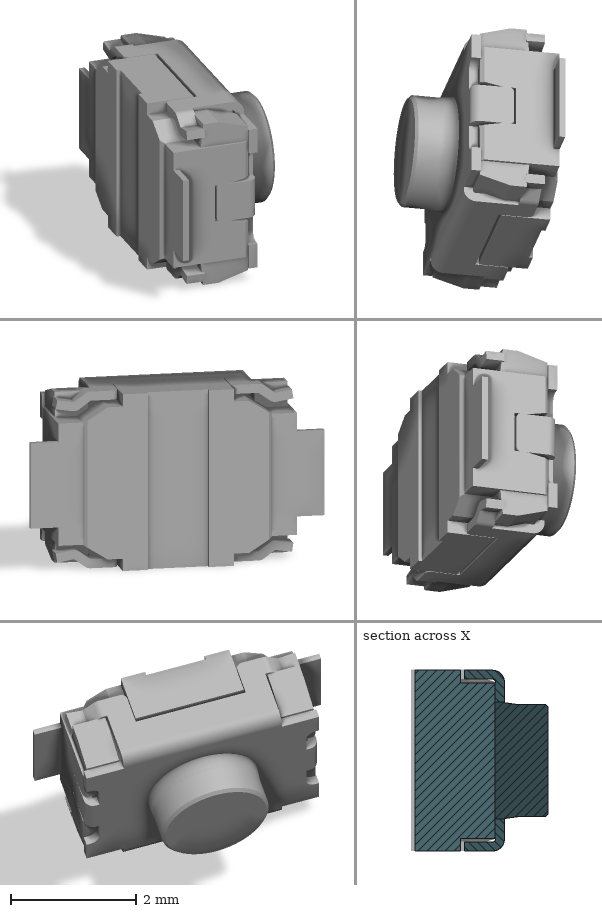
import cadquery as cq
import math


TOTAL_LENGTH = 4.8
TOTAL_HEIGHT = 2.2
TOTAL_WIDTH = 2.9
HALF_WIDTH = TOTAL_WIDTH / 2
HOUSING_HALF_LENGTH = 1.95

SHEET = 0.15
COVER_TOP = 1.5
COVER_BOTTOM = 0.3
LEG_HALF_LENGTH = 1.325
LEG_BEND_RADIUS = 0.195
EAR_HALF_WIDTH = 1.21
EAR_INNER_Z = 0.795
WINDOW_HALF_LENGTH = 0.92
WINDOW_TOP = 0.85
LEG_CORNER_RADIUS = 0.1
LEG_INNER_Z = HALF_WIDTH - SHEET
LEG_BEND_INNER_RADIUS = LEG_BEND_RADIUS - SHEET

NOTCH_DEPTH = 0.215
NOTCH_CORNER_RADIUS = 0.155
NOTCH_FLOOR_X = HOUSING_HALF_LENGTH - NOTCH_DEPTH
TAB_INNER_X = HOUSING_HALF_LENGTH - SHEET
TAB_HALF_WIDTH = 0.32
TAB_BOTTOM = 0.805
TAB_CORNER_RADIUS = 0.07

STRIP_TOP = 0.605
STRIP_ROOT_X = 1.375
STRIP_SLOPE = 36.0
STRIP_SLOPE_LENGTH = 0.225
STRIP_END_SLOPE = 9.0
STRIP_END_LENGTH = 0.28

HOUSING_TOP = COVER_TOP - SHEET
END_HALF_WIDTH = 1.005
END_BOTTOM = 0.06
FLOOR_HALF_LENGTH = 1.545
FLOOR_CORNER_X = 1.155
FLOOR_HALF_WIDTH = 1.25
TOP_CHAMFER_WIDTH = 0.05
TOP_CHAMFER_HEIGHT = 0.06
GROOVE_HALF_LENGTH = 0.5
TONGUE_HALF_LENGTH = 0.905
TONGUE_TOP = 0.79

BLOCK_INNER_X = 1.36
BLOCK_OUTER_X = HOUSING_HALF_LENGTH - TOP_CHAMFER_WIDTH
BLOCK_OUTER_Z = 1.4
BLOCK_TOP_Z = 1.26
BLOCK_TAPER_START = 0.85
BLOCK_BOTTOM_INNER = 0.545
BLOCK_BOTTOM_OUTER = 0.59

POCKET_BOTTOM = 0.775
POCKET_FLARE_START = 0.98
POCKET_TOP_HALF_WIDTH = 0.395

BUTTON_DIAMETER = 1.8
BUTTON_FOOT_RADIUS = 0.93
BUTTON_FLARE_TOP = 1.72
BUTTON_CHAMFER = 0.05

TERMINAL_INNER_X = 1.705
TERMINAL_HALF_WIDTH = 0.7
TERMINAL_TOP = 0.16

SIDES = (-1, 1)


def box(x_range, y_range, z_range):
    """A box from its limits along each axis."""
    size = [high - low for low, high in (x_range, y_range, z_range)]
    corner = cq.Vector(x_range[0], y_range[0], z_range[0])
    return cq.Workplane(cq.Solid.makeBox(*size, corner))


def plan_sketch(y_level):
    """A workplane at a height, with local axes X and Z; a negative extrusion rises toward +Y."""
    return cq.Workplane("XZ", origin=(0, y_level, 0))


def at_both_ends(body):
    """A body at the +X end together with its mirror image at the -X end."""
    return body.union(body.mirror("YZ"))


def at_four_corners(body):
    """A body at the +X +Z corner together with its three mirror images."""
    return at_both_ends(body.union(body.mirror("XY")))




def cover_channel():
    """Top plate with its two bent legs, as one channel along X."""
    outer = box((-LEG_HALF_LENGTH, LEG_HALF_LENGTH), (COVER_BOTTOM, COVER_TOP), (-HALF_WIDTH, HALF_WIDTH))
    outer = outer.edges("|X and >Y").fillet(LEG_BEND_RADIUS)
    inner = box((-LEG_HALF_LENGTH, LEG_HALF_LENGTH), (COVER_BOTTOM, HOUSING_TOP), (-LEG_INNER_Z, LEG_INNER_Z))
    inner = inner.edges("|X and >Y").fillet(LEG_BEND_INNER_RADIUS)
    return outer.cut(inner)


def leg_window():
    """Opening through both legs around the housing tongues, rounded where it leaves the leg ends."""
    half_mouth = WINDOW_HALF_LENGTH + LEG_CORNER_RADIUS
    round_top = COVER_BOTTOM + LEG_CORNER_RADIUS
    return (
        cq.Workplane("XY", origin=(0, 0, -HALF_WIDTH))
        .moveTo(-half_mouth, COVER_BOTTOM)
        .radiusArc((-WINDOW_HALF_LENGTH, round_top), -LEG_CORNER_RADIUS)
        .lineTo(-WINDOW_HALF_LENGTH, WINDOW_TOP)
        .lineTo(WINDOW_HALF_LENGTH, WINDOW_TOP)
        .lineTo(WINDOW_HALF_LENGTH, round_top)
        .radiusArc((half_mouth, COVER_BOTTOM), -LEG_CORNER_RADIUS)
        .close()
        .extrude(TOTAL_WIDTH)
    )


def cover_plate():
    """Top plate with an ear at each corner and a round-cornered notch in each end between the ears."""
    plate = box(
        (-HOUSING_HALF_LENGTH, HOUSING_HALF_LENGTH),
        (HOUSING_TOP, COVER_TOP),
        (-EAR_HALF_WIDTH, EAR_HALF_WIDTH),
    )
    notch_floor_half_width = EAR_INNER_Z - NOTCH_CORNER_RADIUS
    arc_start_x = NOTCH_FLOOR_X + NOTCH_CORNER_RADIUS
    notch = (
        plan_sketch(HOUSING_TOP)
        .moveTo(HOUSING_HALF_LENGTH, EAR_INNER_Z)
        .lineTo(arc_start_x, EAR_INNER_Z)
        .radiusArc((NOTCH_FLOOR_X, notch_floor_half_width), -NOTCH_CORNER_RADIUS)
        .lineTo(NOTCH_FLOOR_X, -notch_floor_half_width)
        .radiusArc((arc_start_x, -EAR_INNER_Z), -NOTCH_CORNER_RADIUS)
        .lineTo(HOUSING_HALF_LENGTH, -EAR_INNER_Z)
        .close()
        .extrude(-SHEET)
    )
    return plate.cut(at_both_ends(notch))


def end_tab():
    """Tab that bends down from the floor of the end notch, with rounded lower corners."""
    tab = (
        cq.Workplane("XY")
        .moveTo(TAB_INNER_X, TAB_BOTTOM)
        .lineTo(HOUSING_HALF_LENGTH, TAB_BOTTOM)
        .lineTo(HOUSING_HALF_LENGTH, HOUSING_TOP)
        .radiusArc((TAB_INNER_X, COVER_TOP), -SHEET)
        .lineTo(NOTCH_FLOOR_X, COVER_TOP)
        .lineTo(NOTCH_FLOOR_X, HOUSING_TOP)
        .lineTo(TAB_INNER_X, HOUSING_TOP)
        .close()
        .extrude(TAB_HALF_WIDTH, both=True)
    )
    return tab.edges("|X and <Y").fillet(TAB_CORNER_RADIUS)


def crimp_strip():
    """Strip that bends inward off the leg and then outward again to the housing end."""

    def step(point, length, degrees):
        angle = math.radians(degrees)
        return (point[0] + length * math.cos(angle), point[1] + length * math.sin(angle))

    first_pivot = (STRIP_ROOT_X, LEG_INNER_Z)
    first_outer_end = step(first_pivot, SHEET, 90 - STRIP_SLOPE)
    first_outer_middle = step(first_pivot, SHEET, 90 - STRIP_SLOPE / 2)
    second_pivot = step(first_outer_end, STRIP_SLOPE_LENGTH, -STRIP_SLOPE)
    second_outer_start = step(first_pivot, STRIP_SLOPE_LENGTH, -STRIP_SLOPE)
    second_outer_end = step(second_pivot, SHEET, STRIP_END_SLOPE - 90)
    second_outer_middle = step(second_pivot, SHEET, (STRIP_END_SLOPE - STRIP_SLOPE) / 2 - 90)
    tip_outer = step(second_pivot, STRIP_END_LENGTH, STRIP_END_SLOPE)
    tip_inner = step(second_outer_end, STRIP_END_LENGTH, STRIP_END_SLOPE)

    root_x = STRIP_ROOT_X - SHEET
    return (
        plan_sketch(COVER_BOTTOM)
        .moveTo(root_x, LEG_INNER_Z)
        .lineTo(root_x, HALF_WIDTH)
        .lineTo(STRIP_ROOT_X, HALF_WIDTH)
        .threePointArc(first_outer_middle, first_outer_end)
        .lineTo(*second_pivot)
        .lineTo(*tip_outer)
        .lineTo(*tip_inner)
        .lineTo(*second_outer_end)
        .threePointArc(second_outer_middle, second_outer_start)
        .lineTo(*first_pivot)
        .close()
        .extrude(COVER_BOTTOM - STRIP_TOP)
    )


def make_cover():
    """Cover with its plate, legs, tabs and strips, and a round hole for the button."""
    cover = cover_channel().cut(leg_window()).union(cover_plate())
    cover = cover.union(at_both_ends(end_tab())).union(at_four_corners(crimp_strip()))
    button_hole = plan_sketch(HOUSING_TOP).circle(BUTTON_FOOT_RADIUS).extrude(-SHEET)
    return cover.cut(button_hole)




def make_terminal(side):
    """Flat terminal set flush into the underside of one housing end; side is -1 or +1 along X."""
    x_limits = sorted((side * TERMINAL_INNER_X, side * TOTAL_LENGTH / 2))
    return box(x_limits, (END_BOTTOM, TERMINAL_TOP), (-TERMINAL_HALF_WIDTH, TERMINAL_HALF_WIDTH))




def housing_core():
    """Main block: a stepped and grooved profile along Z, with sloped corners in plan."""
    half_profile = [
        (0, END_BOTTOM),
        (GROOVE_HALF_LENGTH, END_BOTTOM),
        (GROOVE_HALF_LENGTH, 0),
        (FLOOR_HALF_LENGTH - END_BOTTOM, 0),
        (FLOOR_HALF_LENGTH, END_BOTTOM),
        (HOUSING_HALF_LENGTH, END_BOTTOM),
        (HOUSING_HALF_LENGTH, HOUSING_TOP - TOP_CHAMFER_HEIGHT),
        (HOUSING_HALF_LENGTH - TOP_CHAMFER_WIDTH, HOUSING_TOP),
        (0, HOUSING_TOP),
    ]
    profile = cq.Workplane("XY").polyline(half_profile).close().extrude(HALF_WIDTH, both=True)
    quarter_plan = [
        (0, 0),
        (HOUSING_HALF_LENGTH, 0),
        (HOUSING_HALF_LENGTH, END_HALF_WIDTH),
        (FLOOR_HALF_LENGTH, END_HALF_WIDTH),
        (FLOOR_CORNER_X, FLOOR_HALF_WIDTH),
        (0, FLOOR_HALF_WIDTH),
    ]
    plan = plan_sketch(0).polyline(quarter_plan).close().extrude(-HOUSING_TOP)
    return at_both_ends(profile).intersect(at_four_corners(plan))


def tongues():
    """Rib on each long side that fills the window of the cover leg, split by the groove underneath."""
    x_limits = (-TONGUE_HALF_LENGTH, TONGUE_HALF_LENGTH)
    rib = box(x_limits, (0, TONGUE_TOP), (-HALF_WIDTH, HALF_WIDTH))
    groove = box((-GROOVE_HALF_LENGTH, GROOVE_HALF_LENGTH), (0, END_BOTTOM), (-HALF_WIDTH, HALF_WIDTH))
    return rib.cut(groove)


def corner_block():
    """Block beside the leg end, with a slanted underside and an outer face that leans in near the top."""
    outline = [
        (BLOCK_BOTTOM_INNER, END_HALF_WIDTH),
        (BLOCK_BOTTOM_OUTER, BLOCK_OUTER_Z),
        (BLOCK_TAPER_START, BLOCK_OUTER_Z),
        (HOUSING_TOP, BLOCK_TOP_Z),
        (HOUSING_TOP, 0),
        (BLOCK_BOTTOM_INNER, 0),
    ]
    length = BLOCK_OUTER_X - BLOCK_INNER_X
    return cq.Workplane("YZ", origin=(BLOCK_INNER_X, 0, 0)).polyline(outline).close().extrude(length)


def tab_pocket():
    """Pocket in the housing end around a cover tab, widening toward the top."""
    outline = [
        (POCKET_BOTTOM, -TAB_HALF_WIDTH),
        (POCKET_FLARE_START, -TAB_HALF_WIDTH),
        (HOUSING_TOP, -POCKET_TOP_HALF_WIDTH),
        (HOUSING_TOP, POCKET_TOP_HALF_WIDTH),
        (POCKET_FLARE_START, TAB_HALF_WIDTH),
        (POCKET_BOTTOM, TAB_HALF_WIDTH),
    ]
    return cq.Workplane("YZ", origin=(TAB_INNER_X, 0, 0)).polyline(outline).close().extrude(SHEET)


def make_housing(cover, terminals):
    """Housing, recessed to fit the cover strips and the terminals."""
    housing = housing_core().union(tongues()).union(at_four_corners(corner_block()))
    housing = housing.cut(at_both_ends(tab_pocket())).cut(cover)
    for terminal in terminals:
        housing = housing.cut(terminal)
    return housing




def make_button():
    """Round button with a chamfered top and a flared foot that passes through the cover."""
    radius = BUTTON_DIAMETER / 2
    half_section = [
        (0, HOUSING_TOP),
        (BUTTON_FOOT_RADIUS, HOUSING_TOP),
        (BUTTON_FOOT_RADIUS, COVER_TOP),
        (radius, BUTTON_FLARE_TOP),
        (radius, TOTAL_HEIGHT - BUTTON_CHAMFER),
        (radius - BUTTON_CHAMFER, TOTAL_HEIGHT),
        (0, TOTAL_HEIGHT),
    ]
    return cq.Workplane("XY").polyline(half_section).close().revolve(360, (0, 0), (0, 1))


cover = make_cover()
terminals = [make_terminal(side) for side in SIDES]
housing = make_housing(cover, terminals)
button = make_button()

result = cq.Compound.makeCompound(
    [housing.val(), cover.val(), button.val(), *[terminal.val() for terminal in terminals]]
)